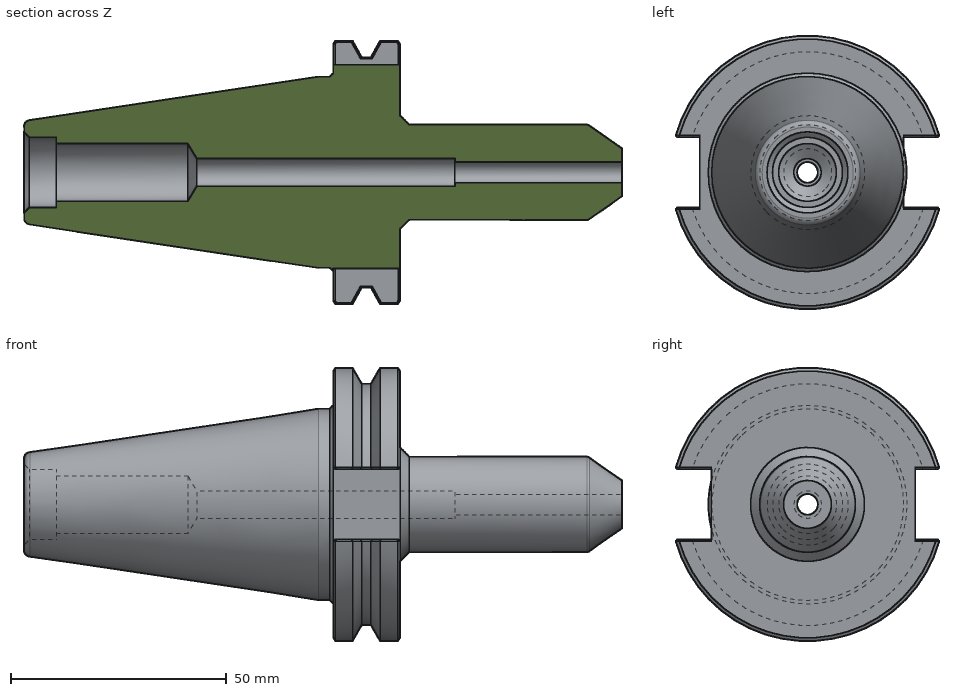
import cadquery as cq
import math


gauge_diameter = 44.45
taper_length = 68.25
small_end_diameter = 23.9
small_end_fillet = 1.6
neck_bevel = 0.8

flange_diameter = 63.5
flange_start = 3.5
flange_thickness = 15.55
rim_bevel_width = 0.5
rim_bevel_height = 0.8
groove_center = 11.2
groove_floor_width = 2.1
groove_depth = 3.7
groove_wall_angle = 30

slot_width = 16.26
slot_floor_front = 22.3
slot_floor_back = 25.0
slot_edge_chamfer = 0.45

overall_length = 138.81
shank_diameter = 22.23
shank_root_bevel = 2.1
nose_diameter = 11.11
nose_length = 7.94
nose_shoulder_fillet = 1.0

mouth_diameter = 18.8
mouth_angle = 45
counterbore_diameter = 16.26
counterbore_depth = 7.5
thread_bore_diameter = 13.39
thread_bore_depth = 38.0
drill_point_angle = 59
pilot_diameter = 6.35
pilot_depth = 100.0
through_diameter = 4.76

tolerance = 0.01

back_end = -taper_length
nose_end = back_end + overall_length
flange_end = flange_start + flange_thickness
gauge_radius = gauge_diameter / 2
small_end_radius = small_end_diameter / 2
flange_radius = flange_diameter / 2
shank_radius = shank_diameter / 2


def revolve_about_x(profile):
    """Close an (X, radius) outline and turn it a full revolution about the X axis."""
    return profile.close().revolve(360, (0, 0, 0), (1, 0, 0))


def make_taper():
    """Cone rounded at its small end, carried on as a cylindrical neck up to the flange."""
    taper = revolve_about_x(
        cq.Workplane("XY")
        .moveTo(back_end, 0)
        .lineTo(back_end, small_end_radius)
        .lineTo(0, gauge_radius)
        .lineTo(flange_start, gauge_radius)
        .lineTo(flange_start, 0)
    )
    return taper.faces("<X").edges().fillet(small_end_fillet)


def make_neck_bevel():
    """Small cone joining the neck to the flange face."""
    return revolve_about_x(
        cq.Workplane("XY")
        .moveTo(flange_start - neck_bevel, 0)
        .lineTo(flange_start - neck_bevel, gauge_radius)
        .lineTo(flange_start, gauge_radius + neck_bevel)
        .lineTo(flange_start, 0)
    )


def make_flange():
    """Bevelled, V-grooved disc with a drive slot on each side and broken slot edges."""
    groove_floor_radius = flange_radius - groove_depth
    half_floor = groove_floor_width / 2
    half_mouth = half_floor + groove_depth * math.tan(math.radians(groove_wall_angle))
    flange = revolve_about_x(
        cq.Workplane("XY")
        .moveTo(flange_start, 0)
        .lineTo(flange_start, flange_radius - rim_bevel_height)
        .lineTo(flange_start + rim_bevel_width, flange_radius)
        .lineTo(groove_center - half_mouth, flange_radius)
        .lineTo(groove_center - half_floor, groove_floor_radius)
        .lineTo(groove_center + half_floor, groove_floor_radius)
        .lineTo(groove_center + half_mouth, flange_radius)
        .lineTo(flange_end - rim_bevel_width, flange_radius)
        .lineTo(flange_end, flange_radius - rim_bevel_height)
        .lineTo(flange_end, 0)
    )
    for slot in make_drive_slots():
        flange = flange.cut(slot)
    return flange.edges().filter(is_slot_wall_edge).chamfer(slot_edge_chamfer)


def is_slot_wall_edge(edge):
    """True for the edges around a drive slot wall, except the one in the slot floor."""
    box = edge.BoundingBox()
    on_wall = box.zlen < tolerance and abs(abs(box.center.z) - slot_width / 2) < tolerance
    floor_y = slot_floor_back if box.center.y > 0 else -slot_floor_front
    on_floor = box.ylen < tolerance and abs(box.center.y - floor_y) < tolerance
    return on_wall and not on_floor


def make_drive_slots():
    """Cutting blocks for the -Y and +Y slots, each reaching outward from its floor."""
    slots = []
    for side, floor in ((-1, slot_floor_front), (1, slot_floor_back)):
        slot = cq.Workplane("XY").box(
            flange_thickness, flange_radius, slot_width, centered=(False, True, True)
        )
        slots.append(slot.translate((flange_start, side * (floor + flange_radius / 2), 0)))
    return slots


def make_shank():
    """Cylinder with a conical root and a conical nose blended at its shoulder."""
    nose_start = nose_end - nose_length
    shank = revolve_about_x(
        cq.Workplane("XY")
        .moveTo(flange_end, 0)
        .lineTo(flange_end, shank_radius + shank_root_bevel)
        .lineTo(flange_end + shank_root_bevel, shank_radius)
        .lineTo(nose_start, shank_radius)
        .lineTo(nose_end, nose_diameter / 2)
        .lineTo(nose_end, 0)
    )
    nose_shoulder = shank.edges("%CIRCLE").sort(lambda edge: edge.Center().x)[-2]
    return nose_shoulder.fillet(nose_shoulder_fillet)


def make_bore():
    """Cutting body for the countersunk, stepped bore running through the whole part."""
    counterbore_radius = counterbore_diameter / 2
    thread_radius = thread_bore_diameter / 2
    pilot_radius = pilot_diameter / 2
    through_radius = through_diameter / 2
    mouth_depth = (mouth_diameter - counterbore_diameter) / 2 / math.tan(math.radians(mouth_angle))
    drill_point_length = (thread_radius - pilot_radius) / math.tan(math.radians(drill_point_angle))
    thread_end = back_end + thread_bore_depth
    return revolve_about_x(
        cq.Workplane("XY")
        .moveTo(back_end, 0)
        .lineTo(back_end, mouth_diameter / 2)
        .lineTo(back_end + mouth_depth, counterbore_radius)
        .lineTo(back_end + counterbore_depth, counterbore_radius)
        .lineTo(back_end + counterbore_depth, thread_radius)
        .lineTo(thread_end, thread_radius)
        .lineTo(thread_end + drill_point_length, pilot_radius)
        .lineTo(back_end + pilot_depth, pilot_radius)
        .lineTo(back_end + pilot_depth, through_radius)
        .lineTo(nose_end, through_radius)
        .lineTo(nose_end, 0)
    )


result = (
    make_taper()
    .union(make_neck_bevel())
    .union(make_flange())
    .union(make_shank())
    .cut(make_bore())
)